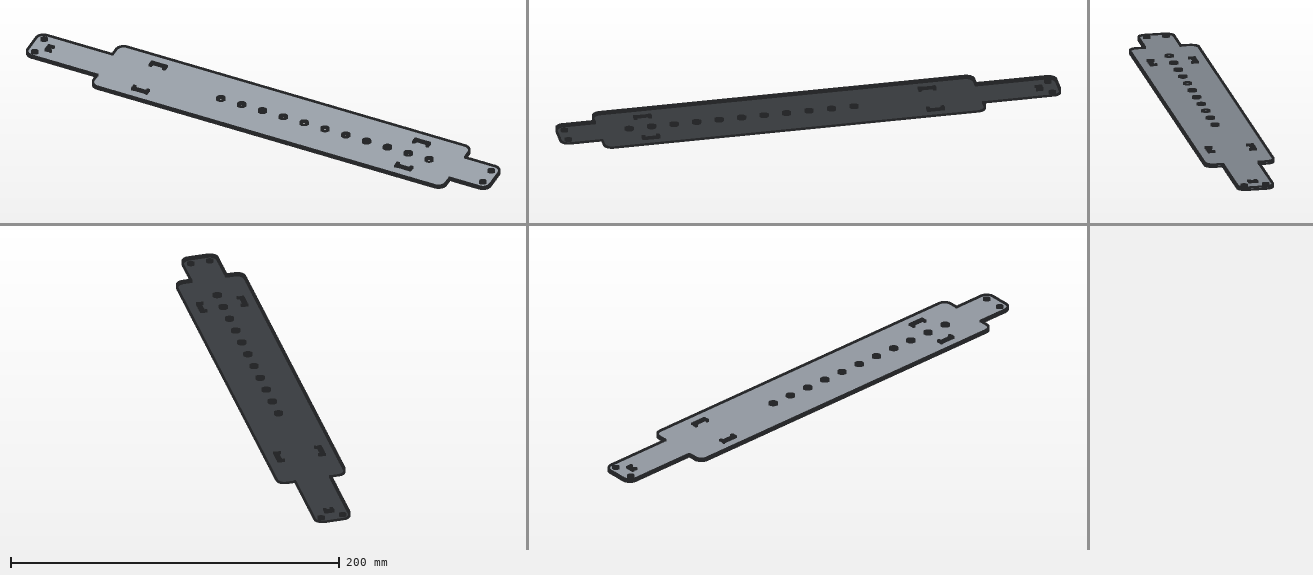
import cadquery as cq

LENGTH = 311.0
WIDTH = 42.84
THICKNESS = 1.6

ARM_WIDTH = 22.0
LEFT_ARM_LENGTH = 49.0
RIGHT_ARM_LENGTH = 25.0
CORNER_RADIUS = 5.0

MOUNT_DIAMETER = 3.4
LEFT_MOUNT_INSET = 5.0
LEFT_MOUNT_SPACING = 13.6
RIGHT_MOUNT_INSET = 5.0
RIGHT_MOUNT_SPACING = 12.0

ROW_DIAMETER = 4.5
ROW_PITCH = 14.0
ROW_COUNT = 11
ROW_FIRST_X = -28.5

SLOT_LENGTH = 10.0
SLOT_BAR = 1.8
SLOT_LEG_WIDTH = 1.0
SLOT_LEG_LENGTH = 1.6
SLOT_CENTERS_X = (-76.6, 100.5)
SLOT_OUTER_Y = 14.6

ARM_SLOT_LENGTH = 5.0
ARM_SLOT_LEG_WIDTH = 1.0
ARM_SLOT_INSET = 10.15

LEFT_END = -LENGTH / 2
RIGHT_END = LENGTH / 2
BODY_LEFT = LEFT_END + LEFT_ARM_LENGTH
BODY_RIGHT = RIGHT_END - RIGHT_ARM_LENGTH


def block(x_min, x_max, width):
    """Plate-thick rectangle, symmetric about the X axis."""
    return (
        cq.Workplane("XY")
        .box(x_max - x_min, width, THICKNESS, centered=(False, True, False))
        .translate((x_min, 0, 0))
    )


def rounded_plate():
    """Wide body with an arm at each end and rounded outer corners."""
    body = block(BODY_LEFT, BODY_RIGHT, WIDTH)
    body = body.edges("|Z and <X").fillet(CORNER_RADIUS)
    body = body.edges("|Z and >X").fillet(CORNER_RADIUS)
    left_arm = block(LEFT_END, 0, ARM_WIDTH)
    left_arm = left_arm.edges("|Z and <X").fillet(CORNER_RADIUS)
    right_arm = block(0, RIGHT_END, ARM_WIDTH)
    right_arm = right_arm.edges("|Z and >X").fillet(CORNER_RADIUS)
    return body.union(left_arm).union(right_arm).clean()


def hole_cutter(points, diameter):
    """Round through holes at the given points."""
    return cq.Workplane("XY").pushPoints(points).circle(diameter / 2).extrude(THICKNESS)


def mount_points(x, spacing):
    """Two points mirrored about the X axis."""
    return [(x, -spacing / 2), (x, spacing / 2)]


def u_slot_cutter(length, leg_width):
    """U-shaped through slot: back edge on the X axis, bar along X, legs towards -Y."""
    half = length / 2
    inner = half - leg_width
    leg_end = -SLOT_BAR - SLOT_LEG_LENGTH
    outline = [
        (-half, 0),
        (half, 0),
        (half, leg_end),
        (inner, leg_end),
        (inner, -SLOT_BAR),
        (-inner, -SLOT_BAR),
        (-inner, leg_end),
        (-half, leg_end),
    ]
    return cq.Workplane("XY").polyline(outline).close().extrude(THICKNESS)


def cut_holes(plate):
    left_mounts = mount_points(LEFT_END + LEFT_MOUNT_INSET, LEFT_MOUNT_SPACING)
    right_mounts = mount_points(RIGHT_END - RIGHT_MOUNT_INSET, RIGHT_MOUNT_SPACING)
    row = [(ROW_FIRST_X + i * ROW_PITCH, 0) for i in range(ROW_COUNT)]
    plate = plate.cut(hole_cutter(left_mounts + right_mounts, MOUNT_DIAMETER))
    return plate.cut(hole_cutter(row, ROW_DIAMETER))


def cut_slots(plate):
    for x in SLOT_CENTERS_X:
        upper = u_slot_cutter(SLOT_LENGTH, SLOT_LEG_WIDTH).translate((x, SLOT_OUTER_Y, 0))
        plate = plate.cut(upper).cut(upper.mirror("XZ"))
    arm_slot = u_slot_cutter(ARM_SLOT_LENGTH, ARM_SLOT_LEG_WIDTH)
    arm_slot = arm_slot.rotate((0, 0, 0), (0, 0, 1), 90)
    return plate.cut(arm_slot.translate((LEFT_END + ARM_SLOT_INSET, 0, 0)))


result = cut_slots(cut_holes(rounded_plate()))